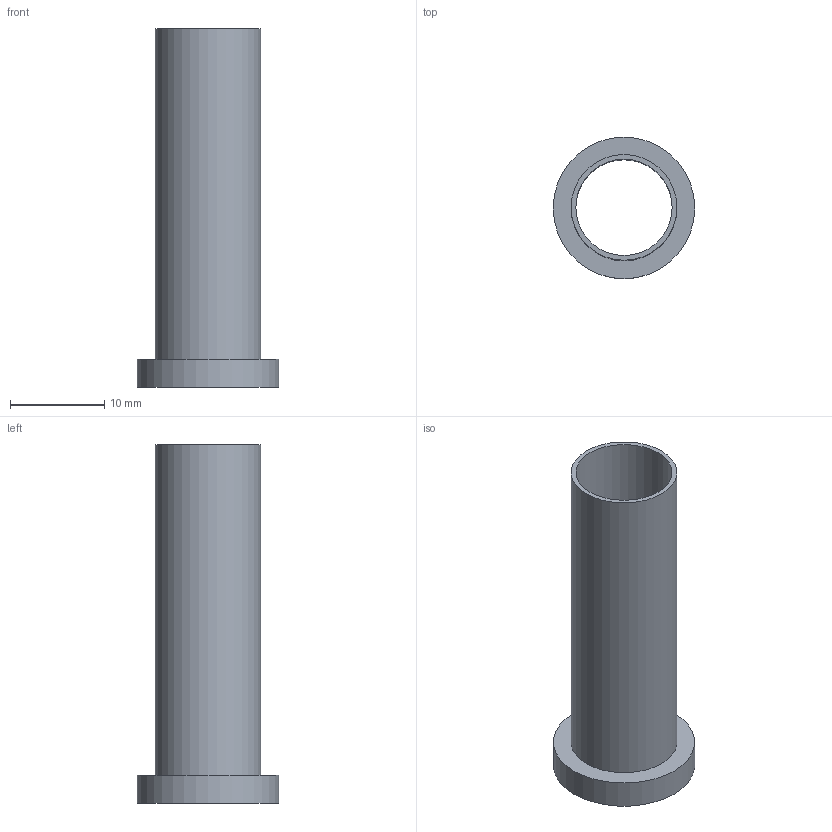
import cadquery as cq

total_height = 38.0
flange_diameter = 15.0
flange_height = 3.0
sleeve_diameter = 11.2
bore_diameter = 10.2


def make_flange():
    """Round collar at the foot of the bushing, resting on Z = 0."""
    return cq.Workplane("XY").circle(flange_diameter / 2).extrude(flange_height)


def make_sleeve():
    """Thin tube body running the full height."""
    return cq.Workplane("XY").circle(sleeve_diameter / 2).extrude(total_height)


def make_bore():
    """Straight hole through the whole length."""
    return cq.Workplane("XY").circle(bore_diameter / 2).extrude(total_height)


result = make_flange().union(make_sleeve()).cut(make_bore())